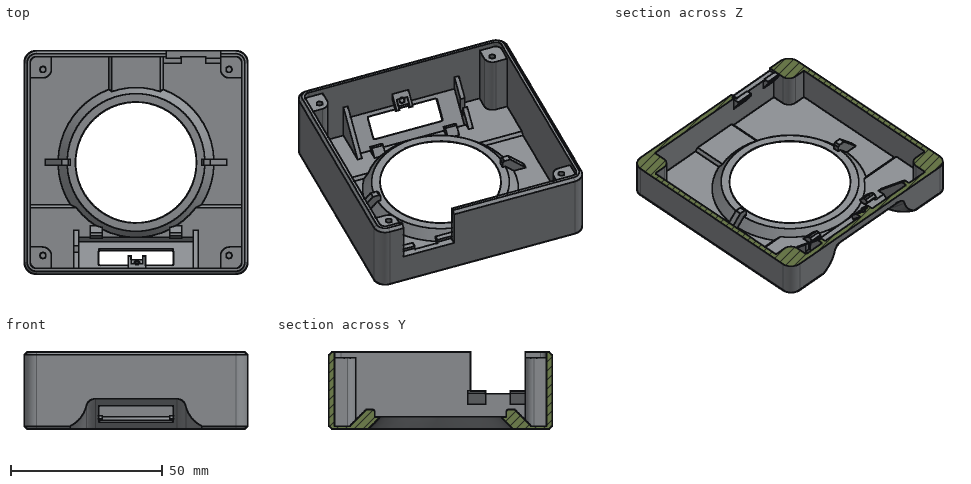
import cadquery as cq
import math

side = 74.0
height = 25.5
corner_radius = 4.0
wall = 2.0
inner_radius = wall
edge_chamfer = wall / 2
skin = wall / 2
step = skin

half = side / 2
inner_half = half - wall
pad_top = skin + step
diagonal = math.sqrt(2)

opening_radius = 20.0
ring_top_radius = 22.8
ring_top = 4.0

post_edge = 28.0
post_radius = 2.95
post_top = height - wall
post_overlap = 0.4
post_hole_place = 30.8
post_hole_diameter = 2.0
post_hole_depth = 10.0

floor_step_y = -14.95

scoop_height = 10.0
scoop_flat_half = 13.55
scoop_top_radius = 2.95
scoop_foot_radius = 10.0

window_width = 24.7
window_length = 7.7
window_radius = 0.5
window_low_z = 2.2

board_half_width = 19.0
rail_width = 1.55
rail_height = 3.7
board_gap = 2.8
seat_end_y = -24.8
rail_notch_front = -29.7
rail_notch_back = -27.5
rail_notch_floor = 4.0

catch_inner_x = 11.1
catch_width = 4.0
catch_flat_front = -24.2
catch_flat_back = -23.3
catch_top = 4.4

bracket_x = 0.3
bracket_width = 5.8
bracket_thickness = 1.5
bracket_arm = skin
bracket_tip_y = -30.9
bracket_bridge_tip_y = -32.1
bracket_recess_end_y = -33.45
bracket_recess = 0.4
bracket_hole_diameter = 1.85
bracket_hole_y = -33.3
bracket_hole_depth = 0.9

clip_width = 2.0
clip_foot_x = 30.05
clip_top_outer_x = 24.5
clip_tip_x = 21.75
clip_chamfer = 0.6

pad_half_width = 8.0

notch_left = 10.0
notch_floor = 11.7
hook_spans = [(8.95, 14.95), (23.0, post_edge)]
hook_top = 12.65
hook_foot = 8.2
hook_reach = 2.2
hook_lip = 0.9
hook_setback = 0.45

slope_outer = scoop_height - half
slope_inner = slope_outer + skin * diagonal
slope_catch = slope_inner + board_gap * diagonal
slope_rail = slope_inner + rail_height * diagonal
seat_offset = pad_top - seat_end_y


def box(x0, x1, y0, y1, z0, z1):
    """Box between two opposite corners."""
    return cq.Workplane("XY").box(x1 - x0, y1 - y0, z1 - z0, centered=False).translate((x0, y0, z0))


def extrude_along_x(points, x0, x1):
    """Closed outline of (y, z) points, extruded from x0 to x1."""
    return cq.Workplane("YZ").polyline(points).close().extrude(x1 - x0).translate((x0, 0, 0))


def cone(base_radius, top_radius, top):
    """45 degree cone frustum standing on z = 0 around the Z axis."""
    outline = [(0, 0), (base_radius, 0), (top_radius, top), (0, top)]
    return cq.Workplane("XZ").polyline(outline).close().revolve(360, (0, 0, 0), (0, 1, 0))


def make_shell():
    outer = cq.Workplane("XY").rect(side, side).extrude(height).edges("|Z").fillet(corner_radius)
    outer = outer.faces("<Z or >Z").chamfer(edge_chamfer)
    cavity = cq.Workplane("XY").workplane(offset=skin).rect(2 * inner_half, 2 * inner_half)
    cavity = cavity.extrude(height).edges("|Z").fillet(inner_radius)
    return outer.cut(cavity)


def make_posts():
    """Rounded corner posts that reach slightly into the case walls."""
    size = inner_half + post_overlap - post_edge
    post = box(0, size, 0, size, skin / 2, post_top).edges("|Z and <X and <Y").fillet(post_radius)
    post = post.translate((post_edge, post_edge, 0))
    posts = post
    for turn in (90, 180, 270):
        posts = posts.union(post.rotate((0, 0, 0), (0, 0, 1), turn))
    return posts


def make_post_holes():
    return (
        cq.Workplane("XY").workplane(offset=post_top)
        .rect(2 * post_hole_place, 2 * post_hole_place, forConstruction=True).vertices()
        .circle(post_hole_diameter / 2).extrude(-post_hole_depth)
    )


def make_front_floor():
    """Thicker floor at the front, with a 45 degree step."""
    outline = [
        (-inner_half, skin / 2),
        (floor_step_y + step, skin / 2),
        (floor_step_y + step, skin),
        (floor_step_y, pad_top),
        (-inner_half, pad_top),
    ]
    return extrude_along_x(outline, -inner_half, inner_half)


def make_name_pad():
    base = pad_half_width + step
    outline = [
        (-base, skin / 2),
        (base, skin / 2),
        (base, skin),
        (pad_half_width, pad_top),
        (-pad_half_width, pad_top),
        (-base, skin),
    ]
    start = ring_top_radius
    pad = cq.Workplane("XZ").polyline(outline).close().extrude(-(inner_half - start))
    return pad.translate((0, start, 0))


def make_wedge(slope, x0, x1):
    """Wedge against the front wall, below the plane y + z = slope."""
    root_y = -inner_half - wall / 2
    toe_y = slope - skin / 2
    outline = [(root_y, skin / 2), (toe_y, skin / 2), (root_y, slope - root_y)]
    return extrude_along_x(outline, x0, x1)


def make_seat():
    """Sloped plate over the scoop with a guide rail on either side."""
    rail_outer = board_half_width + rail_width
    left_rail = make_wedge(slope_rail, -rail_outer, -board_half_width)
    plate = make_wedge(slope_inner, -board_half_width, board_half_width)
    return plate.union(left_rail).union(left_rail.mirror("YZ"))


def make_seat_space():
    """Space for the board: above the sloped plate, between the rails."""
    valley_y = (slope_inner - seat_offset) / 2
    lift = 2 * rail_height
    outline = [
        (-inner_half, slope_inner + inner_half),
        (valley_y, slope_inner - valley_y),
        (valley_y + lift, slope_inner - valley_y + lift),
        (-inner_half, slope_inner + inner_half + 2 * lift),
    ]
    return extrude_along_x(outline, -board_half_width, board_half_width)


def make_rail_notch():
    """Flat-bottomed notch across the left rail."""
    x0 = -board_half_width - rail_width
    return box(x0, -board_half_width, rail_notch_front, rail_notch_back, rail_notch_floor, height)


def make_scoop():
    """S-shaped outline in the front face, swept backward and down at 45 degrees."""
    foot_center_z = scoop_foot_radius
    top_center_z = scoop_height - scoop_top_radius
    radius_sum = scoop_foot_radius + scoop_top_radius
    center_rise = foot_center_z - top_center_z
    center_run = math.sqrt(radius_sum**2 - center_rise**2)
    tilt = math.atan2(center_rise, center_run)
    foot_x = scoop_flat_half + center_run

    def on_circle(center_x, center_z, radius, angle):
        return (center_x + radius * math.cos(angle), center_z + radius * math.sin(angle))

    def mirrored(point):
        return (-point[0], point[1])

    top_circle = (scoop_flat_half, top_center_z, scoop_top_radius)
    foot_circle = (foot_x, foot_center_z, scoop_foot_radius)
    joint = on_circle(*top_circle, tilt)
    top_middle = on_circle(*top_circle, (math.pi / 2 + tilt) / 2)
    foot_middle = on_circle(*foot_circle, math.pi + (math.pi / 2 + tilt) / 2)
    foot_end = (foot_x, 0)
    profile = (
        cq.Workplane("XZ", origin=(0, -half, 0))
        .moveTo(-scoop_flat_half, scoop_height)
        .lineTo(scoop_flat_half, scoop_height)
        .threePointArc(top_middle, joint)
        .threePointArc(foot_middle, foot_end)
        .lineTo(*mirrored(foot_end))
        .threePointArc(mirrored(foot_middle), mirrored(joint))
        .threePointArc(mirrored(top_middle), (-scoop_flat_half, scoop_height))
        .close()
    )
    path = cq.Workplane("YZ").moveTo(-half, 0).lineTo(-half + scoop_height, -scoop_height)
    return profile.sweep(path)


def make_window():
    """Rectangular opening cut square through the sloped plate."""
    depth = skin * diagonal
    rise = window_length / diagonal
    low_y = slope_outer - window_low_z
    outline = [
        (low_y - depth, window_low_z - depth),
        (low_y + depth, window_low_z + depth),
        (low_y + depth - rise, window_low_z + depth + rise),
        (low_y - depth - rise, window_low_z - depth + rise),
    ]
    window = extrude_along_x(outline, -window_width / 2, window_width / 2)
    return window.edges("|(0,1,1)").fillet(window_radius)


def make_catches():
    """Two hooks that hold the lower edge of the board; their undersides face the plate."""
    inner_y = (slope_catch - seat_offset) / 2
    tip_y = (slope_catch - catch_top + catch_flat_front) / 2
    outline = [
        (seat_end_y, pad_top),
        (inner_y, slope_catch - inner_y),
        (tip_y, slope_catch - tip_y),
        (catch_flat_front, catch_top),
        (catch_flat_back, catch_top),
        (catch_flat_back + catch_top - pad_top, pad_top),
    ]
    right = extrude_along_x(outline, catch_inner_x, catch_inner_x + catch_width)
    return right.union(right.mirror("YZ"))


def make_bracket():
    """Forked bracket on the front wall, parallel to the sloped plate."""
    low = slope_rail - bracket_thickness * diagonal

    def slab(high, tip_y, x0, x1):
        tip_drop = (high - low) / 2
        root_y = -inner_half - wall / 2
        outline = [
            (root_y, low - root_y),
            (tip_y - tip_drop, low - tip_y + tip_drop),
            (tip_y, high - tip_y),
            (root_y, high - root_y),
        ]
        return extrude_along_x(outline, x0, x1)

    left = bracket_x - bracket_width / 2
    right = bracket_x + bracket_width / 2
    bridge_top = slope_rail - bracket_recess * diagonal
    bridge = slab(bridge_top, bracket_bridge_tip_y, left, right)
    hole_center = (bracket_x, bracket_hole_y, bridge_top - bracket_hole_y)
    hole_plane = cq.Plane(origin=hole_center, xDir=(1, 0, 0), normal=(0, 1, 1))
    hole = cq.Workplane(hole_plane).circle(bracket_hole_diameter / 2).extrude(-bracket_hole_depth)
    root = slab(slope_rail, bracket_recess_end_y, left, right)
    left_arm = slab(slope_rail, bracket_tip_y, left, left + bracket_arm)
    right_arm = slab(slope_rail, bracket_tip_y, right - bracket_arm, right)
    return bridge.union(root).union(left_arm).union(right_arm).cut(hole)


def make_clips():
    """Wedge clips that cross the ring at left and right."""
    top = skin + clip_foot_x - clip_top_outer_x
    outline = [
        (clip_foot_x, skin),
        (clip_top_outer_x, top),
        (clip_tip_x + clip_chamfer, top),
        (clip_tip_x, top - clip_chamfer),
        (clip_tip_x, skin),
    ]
    right = cq.Workplane("XZ").polyline(outline).close().extrude(clip_width / 2, both=True)
    return right.union(right.mirror("YZ"))


def make_hooks():
    """Hooks on the rear wall, standing slightly above the floor of the notch."""
    tip_y = inner_half - hook_reach
    outline = [
        (inner_half, hook_top),
        (tip_y, hook_top),
        (tip_y, hook_top - hook_lip),
        (inner_half, hook_foot),
    ]
    left, right = [extrude_along_x(outline, x0, x1) for x0, x1 in hook_spans]
    return left.union(right)


def make_wall_notch():
    """Notch through the rear wall that also trims the backs of the hooks."""
    return box(notch_left, post_edge, inner_half - hook_setback, half, notch_floor, height)


ring = cone(ring_top_radius + ring_top, ring_top_radius, ring_top)
opening = cone(opening_radius + ring_top, opening_radius, ring_top)

result = make_shell()
result = result.union(make_posts()).cut(make_post_holes())
result = result.union(make_front_floor()).union(make_name_pad())
result = result.union(make_seat()).cut(make_seat_space()).cut(make_rail_notch())
result = result.union(ring).union(make_clips()).cut(opening)
result = result.union(make_catches()).union(make_bracket())
result = result.cut(make_scoop()).cut(make_window())
result = result.union(make_hooks()).cut(make_wall_notch())